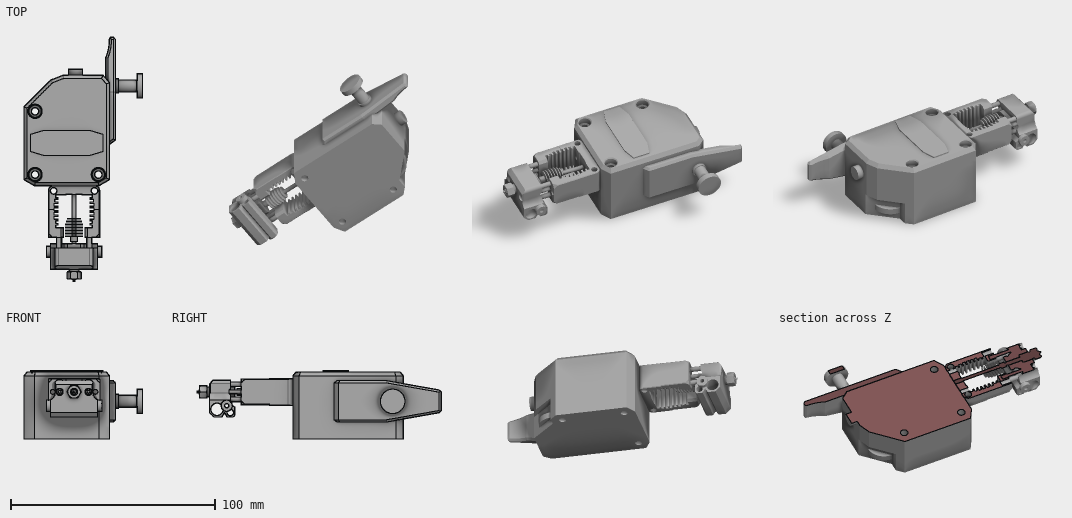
import cadquery as cq
import math

axis_z = 23.15

housing_width = 42.0
housing_left = -24.6
housing_right = housing_left + housing_width
housing_back = 54.2
housing_top = 32.9
front_chamfer_x = 5.2
front_chamfer_y = 3.0
slope_start_y = 38.7
slope_run = 13.1
slope_end_y = slope_start_y + slope_run
back_left_x = -5.4
back_right_x = 14.2
back_right_y = 50.5
top_chamfer_height = 1.9
top_chamfer_inset = 1.6

screw_pitch = 31.0
screw_center_x = housing_left + housing_width / 2
screw_front_y = (housing_width - screw_pitch) / 2
screw_hole_dia = 3.5
counterbore_dia = 6.0
counterbore_rim_dia = 7.0
counterbore_depth = 3.5

badge_width = 35.5
badge_depth = 12.4
badge_end_depth = 8.4
badge_flat_width = 22.0
badge_height = 0.7
badge_y = 21.0

notch_height = 11.9
notch_front_y = 42.0
notch_run = 4.5
wheel_radius = 8.8
wheel_bottom = 3.6
wheel_thickness = 3.0

inlet_dia = 7.0
inlet_x = 0.75
inlet_z = 22.5
inlet_length = 3.0

lever_mid_z = 18.5
lever_outer_x = 20.3
lever_inner_x = 15.5
lever_front_y = 20.3
lever_front_slope = 2.1
lever_tail_y = 72.85
lever_half_height = 10.15
lever_tail_half_height = 5.6
lever_taper_y = 45.9
lever_edge_chamfer = 1.1
tail_chamfer = 1.1
select_margin = 0.1
thumb_rest_y = 62.8
tail_inner_x = 17.2
thumb_rest_mid_depth = 1.35

thumbscrew_y = 48.95
collar_dia = 7.0
collar_length = 1.5
shaft_dia = 6.0
neck_dia = 4.9
neck_length = 0.35
knob_dia = 12.0
knob_length = 2.75
thumbscrew_end_x = housing_left + 58.2

sink_half_width = 12.6
sink_length = 25.25
sink_half_height = 6.4
sink_rear_length = 11.5
sink_rear_step_top = 0.1
sink_rear_step_bottom = 0.3
sink_corner_radius = 2.4
sink_tip_cut = 2.0
sink_edge_chamfer = 0.35
mount_hole_dia = 3.1
mount_hole_x = 10.0
mount_hole_y = -2.5
sink_wall_y = -4.5
sink_pad_half_width = 4.0
sink_pad_height = 0.3
leg_rear_y = -20.5
leg_inner_x = 5.25
leg_chamfer = 1.25
fin_tip_x = 7.8
fin_pitch = 2.11
fin_thickness = 0.85
first_fin_y = -6.2
groove_root_x = [8.9, 9.4, 9.75, 9.75, 9.75, 9.75, 8.9, 8.9]
tip_hole_x = 10.45
tip_hole_dia = 2.38
tip_hole_depth = 5.0

block_rear_y = -30.45
block_front_y = -40.9
block_top = 28.95
block_half_width = 11.6
block_upper_half_width = 9.35
block_corner_radius = 1.7
block_flare_top = 22.7
block_flare_bottom = 19.2
block_flare_mid_step = 0.65
block_flare_sag = 0.4
block_top_chamfer_y = 1.9
block_top_chamfer_z = 2.2
block_side_chamfer_x = 0.45
block_side_chamfer_y = 0.7
block_bottom = 10.8
block_bottom_chamfer = 2.3
clamp_rear_y = -28.3
clamp_top = 17.0
clamp_shoulder_z = 15.7
clamp_corner = 0.9
valley_y = -33.45
valley_z = 13.0
valley_half_width = 1.3
heater_dia = 6.0
heater_y = -37.1
heater_z = 14.6
sensor_dia = 3.1
sensor_y = -30.6
sensor_z = 13.0
clamp_dia = 5.5
clamp_bore_dia = 2.0
clamp_y = -32.35
clamp_z = 16.35
clamp_end_x = 13.6
boss_width = 9.7
boss_height = 4.9
boss_corner = 1.6
tube_dia = 2.38
tube_x = 7.5
tube_offset_z = 3.7
tie_dia = 2.05
tie_x = 7.05
tube_seat_depth = 1.0
rod_socket_depth = 3.0
tie_countersink_dia = 5.8
tie_countersink_depth = 2.8
tie_recess_dia = 3.5
tie_recess_depth = 2.2
tie_head_dia = 2.8
tie_head_height = 1.0
tie_socket_dia = 1.4

throat_dia = 2.05
cooling_fin_radii = [3.1, 3.75, 4.1, 4.1, 4.1, 4.1, 4.1]
cooling_fin_pitch = 1.44
cooling_fin_thickness = 0.4
first_cooling_fin_y = -16.1
break_collar_dia = 3.5
break_collar_rear_y = -24.9
break_collar_front_y = -27.4
nozzle_shank_dia = 4.9
nozzle_shank_rear_y = -36.0
hex_rear_y = -42.0
hex_front_y = -45.75
hex_flats = 6.1
hex_edge_chamfer = 0.4
nozzle_cone_dia = 2.38
nozzle_cone_length = 0.35
nozzle_groove_dia = 3.5
nozzle_groove_depth = 0.3
nozzle_tip_dia = 0.9
nozzle_end_y = lever_tail_y - 119.75


def rod_forward(x, z, diameter, y_rear, y_front):
    """Round bar parallel to Y, from y_rear forwards (towards -Y) to y_front."""
    bar = cq.Solid.makeCylinder(
        diameter / 2, y_rear - y_front, cq.Vector(x, y_rear, z), cq.Vector(0, -1, 0))
    return cq.Workplane(bar)


def cone_forward(x, z, rear_dia, front_dia, y_rear, y_front):
    """Cone parallel to Y, from y_rear forwards (towards -Y) to y_front."""
    cone = cq.Solid.makeCone(
        rear_dia / 2, front_dia / 2, y_rear - y_front,
        cq.Vector(x, y_rear, z), cq.Vector(0, -1, 0))
    return cq.Workplane(cone)


def rod_sideways(y, z, diameter, x_start, x_end):
    """Round bar parallel to X."""
    bar = cq.Solid.makeCylinder(
        diameter / 2, x_end - x_start, cq.Vector(x_start, y, z), cq.Vector(1, 0, 0))
    return cq.Workplane(bar)


def box_between(x_min, x_max, y_min, y_max, z_min, z_max):
    """Box given by its limits along the three axes."""
    corner = (x_min, y_min, z_min)
    box = cq.Workplane("XY").box(x_max - x_min, y_max - y_min, z_max - z_min, centered=False)
    return box.translate(corner)


def make_housing():
    outline = [
        (housing_left + front_chamfer_x, 0),
        (housing_right - front_chamfer_x, 0),
        (housing_right, front_chamfer_y),
        (housing_right, back_right_y),
        (back_right_x, housing_back),
        (back_left_x, housing_back),
        (housing_left + slope_run, slope_end_y),
        (housing_left, slope_start_y),
        (housing_left, front_chamfer_y),
    ]
    wall_height = housing_top - top_chamfer_height
    body = cq.Workplane("XY").polyline(outline).close().extrude(wall_height)
    top_taper = math.degrees(math.atan(top_chamfer_inset / top_chamfer_height))
    cap = (cq.Workplane("XY").workplane(offset=wall_height)
           .polyline(outline).close().extrude(top_chamfer_height, taper=top_taper))
    body = body.union(cap)

    left_x = screw_center_x - screw_pitch / 2
    right_x = screw_center_x + screw_pitch / 2
    rear_y = screw_front_y + screw_pitch
    rim_depth = (counterbore_rim_dia - counterbore_dia) / 2
    for x, y in [(left_x, screw_front_y), (right_x, screw_front_y), (left_x, rear_y)]:
        hole = cq.Workplane("XY").center(x, y).circle(screw_hole_dia / 2).extrude(housing_top)
        counterbore = (cq.Workplane("XY", origin=(x, y, housing_top))
                       .circle(counterbore_dia / 2).extrude(-counterbore_depth))
        rim = (cq.Workplane("XY", origin=(x, y, housing_top))
               .circle(counterbore_rim_dia / 2).extrude(-rim_depth, taper=45))
        body = body.cut(hole).cut(counterbore).cut(rim)

    half_width = badge_width / 2
    half_flat = badge_flat_width / 2
    half_depth = badge_depth / 2
    half_end = badge_end_depth / 2
    badge = (cq.Workplane("XY", origin=(screw_center_x, badge_y, housing_top))
             .polyline([(-half_width, -half_end), (-half_flat, -half_depth),
                        (half_flat, -half_depth), (half_width, -half_end),
                        (half_width, half_end), (half_flat, half_depth),
                        (-half_flat, half_depth), (-half_width, half_end)])
             .close().extrude(badge_height))
    body = body.union(badge)

    wall_x = housing_left + (notch_front_y - slope_start_y) + notch_run
    notch_rise = housing_back - notch_front_y
    notch = (cq.Workplane("XY")
             .polyline([(wall_x, notch_front_y),
                        (wall_x + notch_rise, housing_back),
                        (housing_left, housing_back),
                        (housing_left, notch_front_y)])
             .close().extrude(notch_height))
    wheel = (cq.Workplane("XY", origin=(wall_x + wheel_radius, notch_front_y, wheel_bottom))
             .circle(wheel_radius).extrude(wheel_thickness))
    body = body.cut(notch.cut(wheel))

    inlet = rod_forward(inlet_x, inlet_z, inlet_dia, housing_back + inlet_length, housing_back)
    return body.union(inlet)


def make_lever():
    corner_slope = (housing_back - back_right_y) / (back_right_x - housing_right)
    corner_y = back_right_y + corner_slope * (lever_inner_x - housing_right)
    hollow_mid = (lever_inner_x + thumb_rest_mid_depth, (thumb_rest_y + lever_tail_y - tail_chamfer) / 2)
    outline = (cq.Workplane("XY")
               .moveTo(housing_right, lever_front_y)
               .lineTo(lever_outer_x, lever_front_y + lever_front_slope)
               .lineTo(lever_outer_x, lever_tail_y - tail_chamfer)
               .lineTo(lever_outer_x - tail_chamfer, lever_tail_y)
               .lineTo(tail_inner_x + tail_chamfer / 2, lever_tail_y)
               .lineTo(tail_inner_x, lever_tail_y - tail_chamfer)
               .threePointArc(hollow_mid, (lever_inner_x, thumb_rest_y))
               .lineTo(lever_inner_x, corner_y)
               .lineTo(housing_right, back_right_y)
               .close())
    plate = outline.extrude(2 * lever_half_height)
    plate = plate.translate((0, 0, lever_mid_z - lever_half_height))

    tail_end_half_height = lever_tail_half_height - tail_chamfer
    tail_corner_y = lever_tail_y - tail_chamfer
    side_half = [(lever_front_y, lever_half_height), (lever_taper_y, lever_half_height),
                 (tail_corner_y, lever_tail_half_height), (lever_tail_y, tail_end_half_height)]
    side_outline = side_half + [(y, -height) for y, height in reversed(side_half)]
    side_shape = (cq.Workplane("YZ", origin=(lever_inner_x, 0, lever_mid_z))
                  .polyline(side_outline).close().extrude(lever_outer_x - lever_inner_x))
    lever = plate.intersect(side_shape)

    outer_zone = cq.selectors.BoxSelector(
        (lever_outer_x - select_margin, lever_front_y, 0),
        (lever_outer_x + select_margin, lever_tail_y, housing_top))
    front_end_zone = cq.selectors.BoxSelector(
        (housing_right + select_margin, lever_front_y, 0),
        (lever_outer_x - select_margin, lever_front_y + lever_front_slope, housing_top))
    lever = lever.edges(outer_zone + front_end_zone).edges("not |Z").chamfer(lever_edge_chamfer)
    thumb_zone = cq.selectors.BoxSelector(
        (lever_inner_x - select_margin, corner_y + select_margin, 0),
        (tail_inner_x + select_margin, tail_corner_y, housing_top))
    return lever.edges(thumb_zone).edges("not |Z").chamfer(lever_edge_chamfer)


def make_thumbscrew():
    collar_end_x = lever_outer_x + collar_length
    knob_start_x = thumbscrew_end_x - knob_length
    neck_start_x = knob_start_x - neck_length
    collar = rod_sideways(thumbscrew_y, lever_mid_z, collar_dia, lever_outer_x, collar_end_x)
    shaft = rod_sideways(thumbscrew_y, lever_mid_z, shaft_dia, collar_end_x, neck_start_x)
    neck = rod_sideways(thumbscrew_y, lever_mid_z, neck_dia, neck_start_x, knob_start_x)
    knob = rod_sideways(thumbscrew_y, lever_mid_z, knob_dia, knob_start_x, thumbscrew_end_x)
    return collar.union(shaft).union(neck).union(knob)


def make_support_rods():
    """Four support tubes and two tie screws between the heatsink legs and the heater block."""
    rear_y = -sink_length + rod_socket_depth
    tube_front_y = block_rear_y - tube_seat_depth
    rods = cq.Workplane("XY")
    for side in (-1, 1):
        for level in (-1, 1):
            tube_z = axis_z + level * tube_offset_z
            rods = rods.add(rod_forward(side * tube_x, tube_z, tube_dia, rear_y, tube_front_y))
        tie = rod_forward(side * tie_x, axis_z, tie_dia, rear_y, block_front_y + tie_recess_depth)
        rods = rods.add(tie)
    return rods.combine()


def make_heatsink(support_rods):
    z_min = axis_z - sink_half_height
    z_max = axis_z + sink_half_height
    body = box_between(-sink_half_width, sink_half_width, -sink_length, 0, z_min, z_max)
    body = body.edges("|Y").chamfer(sink_edge_chamfer)
    rear = box_between(-sink_half_width, sink_half_width, -sink_rear_length, 0,
                       z_min - sink_rear_step_bottom, z_max + sink_rear_step_top)
    rear = rear.edges("|Y").chamfer(sink_edge_chamfer)
    body = body.union(rear).edges("|Z and >Y").fillet(sink_corner_radius)

    cut_bottom = z_min - sink_rear_step_bottom
    cut_top = z_max + sink_rear_step_top
    body = body.cut(box_between(-fin_tip_x, fin_tip_x, leg_rear_y, sink_wall_y, cut_bottom, cut_top))
    body = body.cut(box_between(-sink_pad_half_width, sink_pad_half_width, sink_wall_y,
                                sink_wall_y + sink_pad_height, cut_bottom, cut_top))
    last_groove = len(groove_root_x) - 1
    for index, root_x in enumerate(groove_root_x):
        fin_behind_y = first_fin_y - (index - 1) * fin_pitch
        rear_y = sink_wall_y if index == 0 else fin_behind_y - fin_thickness / 2
        front_y = leg_rear_y if index == last_groove else fin_behind_y - fin_pitch + fin_thickness / 2
        body = body.cut(box_between(-root_x, root_x, front_y, rear_y, cut_bottom, cut_top))

    wide_x = leg_inner_x + leg_chamfer
    bevel_z = sink_half_height - leg_chamfer
    leg_gap = (cq.Workplane("XZ", origin=(0, leg_rear_y, axis_z))
               .polyline([(-leg_inner_x, -bevel_z), (-wide_x, -sink_half_height),
                          (wide_x, -sink_half_height), (leg_inner_x, -bevel_z),
                          (leg_inner_x, bevel_z), (wide_x, sink_half_height),
                          (-wide_x, sink_half_height), (-leg_inner_x, bevel_z)])
               .close().extrude(sink_length + leg_rear_y))
    body = body.cut(leg_gap)

    for side in (-1, 1):
        for level in (-1, 1):
            tip = cq.Vector(side * sink_half_width, -sink_length, axis_z + level * sink_half_height)
            outward = cq.Vector(side, -1, level).normalized()
            start = tip - outward * (sink_tip_cut / math.sqrt(3))
            cutter_size = 4 * sink_tip_cut
            cutter = (cq.Workplane(cq.Plane(origin=start, normal=outward))
                      .rect(cutter_size, cutter_size).extrude(cutter_size))
            body = body.cut(cutter)
        mount_hole = (cq.Workplane("XY", origin=(side * mount_hole_x, mount_hole_y, cut_bottom))
                      .circle(mount_hole_dia / 2).extrude(cut_top - cut_bottom))
        tie_hole = rod_forward(side * tie_x, axis_z, tie_dia, 0, sink_wall_y)
        tip_hole = rod_forward(side * tip_hole_x, axis_z, tip_hole_dia,
                               tip_hole_depth - sink_length, -sink_length)
        body = body.cut(mount_hole).cut(tie_hole).cut(tip_hole)

    throat_hole = rod_forward(0, axis_z, throat_dia, 0, sink_wall_y)
    return body.cut(throat_hole).cut(support_rods)


def make_heater_block(support_rods, hot_core):
    block_length = block_rear_y - block_front_y
    flare_mid = (block_upper_half_width + block_flare_mid_step,
                 (block_flare_top + block_flare_bottom) / 2 - block_flare_sag)
    corner_mid = block_corner_radius * (1 - math.sqrt(0.5))
    round_start_z = block_top - block_corner_radius
    round_end_x = block_upper_half_width - block_corner_radius
    upper_foot_z = clamp_z
    body = (cq.Workplane("XZ", origin=(0, block_rear_y, 0))
            .moveTo(-block_half_width, upper_foot_z)
            .lineTo(block_half_width, upper_foot_z)
            .lineTo(block_half_width, block_flare_bottom)
            .threePointArc(flare_mid, (block_upper_half_width, block_flare_top))
            .lineTo(block_upper_half_width, round_start_z)
            .threePointArc((block_upper_half_width - corner_mid, block_top - corner_mid),
                           (round_end_x, block_top))
            .lineTo(-round_end_x, block_top)
            .threePointArc((-block_upper_half_width + corner_mid, block_top - corner_mid),
                           (-block_upper_half_width, round_start_z))
            .lineTo(-block_upper_half_width, block_flare_top)
            .threePointArc((-flare_mid[0], flare_mid[1]), (-block_half_width, block_flare_bottom))
            .close().extrude(block_length))
    top_bevel = (cq.Workplane("YZ")
                 .polyline([(block_front_y, block_top),
                            (block_front_y + block_top_chamfer_y, block_top),
                            (block_front_y, block_top - block_top_chamfer_z)])
                 .close().extrude(block_half_width, both=True))
    body = body.cut(top_bevel)
    for side in (-1, 1):
        side_bevel = (cq.Workplane("XY", origin=(0, block_front_y, block_flare_top))
                      .polyline([(side * block_upper_half_width, 0),
                                 (side * (block_upper_half_width - block_side_chamfer_x), 0),
                                 (side * block_upper_half_width, block_side_chamfer_y)])
                      .close().extrude(block_top - block_flare_top))
        body = body.cut(side_bevel)

    clamp_outline = [
        (block_rear_y, clamp_top), (clamp_rear_y, clamp_shoulder_z),
        (clamp_rear_y, block_bottom + clamp_corner), (clamp_rear_y - clamp_corner, block_bottom),
        (valley_y + valley_half_width, block_bottom), (valley_y, valley_z),
        (valley_y - valley_half_width, block_bottom),
        (block_front_y + block_bottom_chamfer, block_bottom),
        (block_front_y, block_bottom + block_bottom_chamfer),
        (block_front_y, clamp_top),
    ]
    clamps = (cq.Workplane("YZ").polyline(clamp_outline).close()
              .extrude(block_half_width, both=True))
    body = body.union(clamps)

    for y, z, diameter in [(sensor_y, sensor_z, sensor_dia), (heater_y, heater_z, heater_dia)]:
        body = body.cut(rod_sideways(y, z, diameter, -block_half_width, block_half_width))
    for start_x, end_x in [(-clamp_end_x, -block_half_width), (block_half_width, clamp_end_x)]:
        body = body.union(rod_sideways(clamp_y, clamp_z, clamp_dia, start_x, end_x))
    body = body.cut(rod_sideways(clamp_y, clamp_z, clamp_bore_dia, -clamp_end_x, clamp_end_x))

    boss = (cq.Workplane("XZ", origin=(0, clamp_rear_y, axis_z))
            .rect(boss_width, boss_height).extrude(clamp_rear_y - block_rear_y)
            .edges("|Y").chamfer(boss_corner))
    body = body.union(boss)

    tie_seat_y = block_front_y + tie_recess_depth
    head_front_y = tie_seat_y - tie_head_height
    for side in (-1, 1):
        x = side * tie_x
        body = body.cut(cone_forward(x, axis_z, tie_countersink_dia, tie_dia, block_rear_y,
                                     block_rear_y - tie_countersink_depth))
        body = body.cut(rod_forward(x, axis_z, tie_recess_dia, tie_seat_y, block_front_y))
        body = body.union(rod_forward(x, axis_z, tie_head_dia, tie_seat_y, head_front_y))
        body = body.cut(rod_forward(x, axis_z, tie_socket_dia, tie_seat_y, head_front_y))
    return body.union(support_rods).cut(hot_core)


def make_hot_core():
    """Finned heatbreak and nozzle: one turned part running through the heater block."""
    body = rod_forward(0, axis_z, throat_dia, 0, nozzle_shank_rear_y)
    for index, radius in enumerate(cooling_fin_radii):
        fin_y = first_cooling_fin_y - index * cooling_fin_pitch
        half = cooling_fin_thickness / 2
        body = body.union(rod_forward(0, axis_z, 2 * radius, fin_y + half, fin_y - half))
    body = body.union(rod_forward(0, axis_z, break_collar_dia, break_collar_rear_y, break_collar_front_y))
    body = body.union(rod_forward(0, axis_z, nozzle_shank_dia, nozzle_shank_rear_y, hex_rear_y))

    hex_corners = hex_flats / math.cos(math.pi / 6)
    hexagon = (cq.Workplane("XZ", origin=(0, hex_rear_y, axis_z))
               .polygon(6, hex_corners).extrude(hex_rear_y - hex_front_y))
    bevelled_disc = (rod_forward(0, axis_z, hex_corners, hex_rear_y, hex_front_y)
                     .edges().chamfer(hex_edge_chamfer))
    body = body.union(hexagon.intersect(bevelled_disc))

    cone_end_y = hex_front_y - nozzle_cone_length
    groove_rear_y = hex_front_y + nozzle_groove_depth
    groove = rod_forward(0, axis_z, nozzle_groove_dia, groove_rear_y, hex_front_y)
    groove_core = rod_forward(0, axis_z, nozzle_cone_dia, groove_rear_y, hex_front_y)
    body = body.cut(groove.cut(groove_core))
    body = body.union(
        cone_forward(0, axis_z, nozzle_cone_dia, nozzle_tip_dia, hex_front_y, cone_end_y))
    return body.union(rod_forward(0, axis_z, nozzle_tip_dia, cone_end_y, nozzle_end_y))


support_rods = make_support_rods()
hot_core = make_hot_core()
housing = make_housing()
lever = make_lever()
thumbscrew = make_thumbscrew()
heatsink = make_heatsink(support_rods)
heater_block = make_heater_block(support_rods, hot_core)

result = cq.Compound.makeCompound([
    housing.val(),
    lever.val(),
    thumbscrew.val(),
    heatsink.val(),
    heater_block.val(),
    hot_core.val(),
])